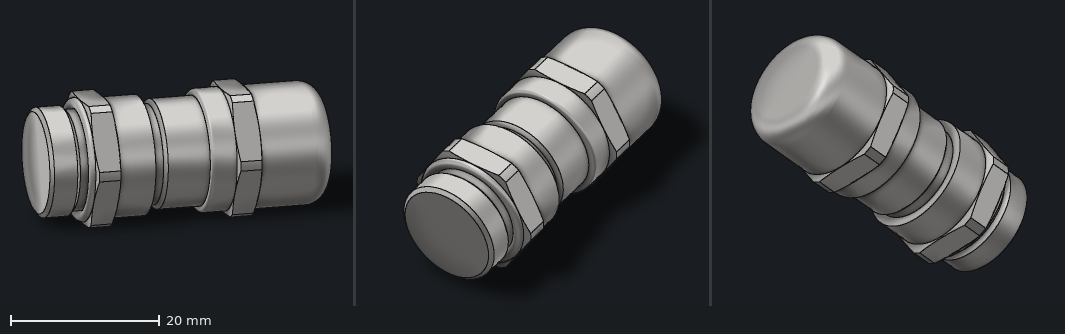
import cadquery as cq
import math

length = 39.8

thread_radius = 7.52
neck_radius = 6.9
collar_radius = 8.25
nut_radius = 8.45
end_chamfer_width = 0.6

end_chamfer_top = 0.48
thread_top = 3.75
lower_neck_start = 4.3
lower_hex_bottom = 6.0
collar_top = 14.5
upper_neck_end = 15.95
sleeve_start = 16.45
nut_bottom = 22.33

nut_edge_round = 0.5
dome_round = 2.8

seal_section_radius = (nut_radius - neck_radius) / 2
seal_centre_radius = neck_radius + seal_section_radius

across_flats = 17.0
hex_corner_radius = 18.9 / 2
hex_height = 3.45
hex_chamfer_drop = 0.25
upper_hex_bottom = 25.85


def round_arc(profile, centre_radius, centre_y, size, start_angle):
    """Add a convex quarter arc turning anticlockwise from start_angle in degrees."""
    middle, end = (math.radians(start_angle + turn) for turn in (45, 90))
    return profile.threePointArc(
        (centre_radius + size * math.cos(middle), centre_y + size * math.sin(middle)),
        (centre_radius + size * math.cos(end), centre_y + size * math.sin(end)),
    )


def make_body():
    """Revolve the complete stepped profile of the gland."""
    profile = (
        cq.Workplane("XY")
        .moveTo(0, 0)
        .lineTo(thread_radius - end_chamfer_width, 0)
        .lineTo(thread_radius, end_chamfer_top)
        .lineTo(thread_radius, thread_top)
        .lineTo(neck_radius, lower_neck_start)
        .lineTo(neck_radius, lower_hex_bottom)
        .threePointArc(
            (seal_centre_radius, lower_hex_bottom - seal_section_radius),
            (nut_radius, lower_hex_bottom),
        )
        .lineTo(collar_radius, lower_hex_bottom)
        .lineTo(collar_radius, collar_top)
        .lineTo(neck_radius, collar_top)
        .lineTo(neck_radius, upper_neck_end)
        .lineTo(thread_radius, sleeve_start)
        .lineTo(thread_radius, nut_bottom)
        .lineTo(nut_radius - nut_edge_round, nut_bottom)
    )
    profile = round_arc(
        profile, nut_radius - nut_edge_round, nut_bottom + nut_edge_round, nut_edge_round, -90
    )
    profile = profile.lineTo(nut_radius, length - dome_round)
    profile = round_arc(profile, nut_radius - dome_round, length - dome_round, dome_round, 0)
    return profile.lineTo(0, length).close().revolve(360, (0, 0, 0), (0, 1, 0))


def make_hex(bottom):
    """Make a hexagon with flats facing +Z and -Z, its corners turned and chamfered."""
    top = bottom + hex_height
    flat_radius = across_flats / 2
    prism = (
        cq.Workplane("XZ", origin=(0, bottom, 0))
        .polygon(6, across_flats / math.cos(math.pi / 6))
        .extrude(-hex_height)
    )
    turned_blank = (
        cq.Workplane("XY")
        .polyline([
            (0, bottom),
            (flat_radius, bottom),
            (hex_corner_radius, bottom + hex_chamfer_drop),
            (hex_corner_radius, top - hex_chamfer_drop),
            (flat_radius, top),
            (0, top),
        ])
        .close()
        .revolve(360, (0, 0, 0), (0, 1, 0))
    )
    return prism.intersect(turned_blank)


result = make_body()
for hex_bottom in (lower_hex_bottom, upper_hex_bottom):
    result = result.union(make_hex(hex_bottom))